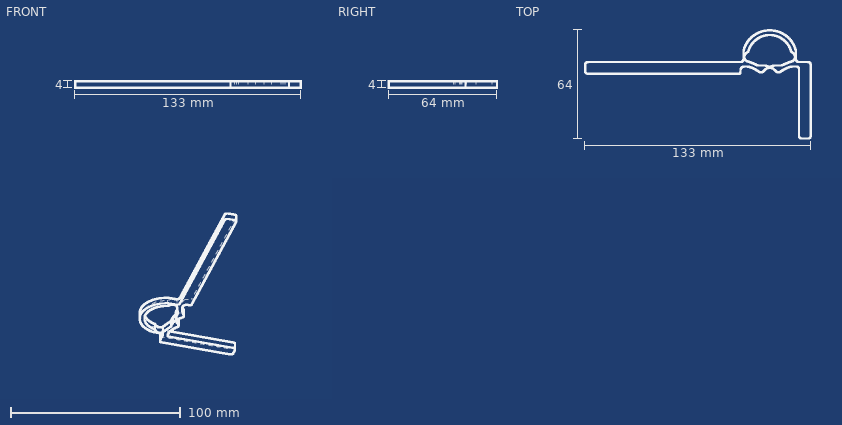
import cadquery as cq
import math

thickness = 4.0
total_length = 133.0
total_width = 64.0

arm_width = 7.0
right_edge = 24.2
left_edge = right_edge - total_length
gap_half_width = right_edge - arm_width
arm_corner_radius = 1.7
gap_corner_radius = 1.2
long_arm_gap_radius = 2.1

ring_radius = 16.0
ring_wall = 2.9
ring_center_y = 2.8
neck_half_width = 15.5
neck_fillet = 1.5
ring_top = ring_center_y + ring_radius
bottom_edge = ring_top - total_width

roof_radius = ring_radius - ring_wall
roof_end_angle = math.radians(15)
roof_end = (
    roof_radius * math.cos(roof_end_angle),
    ring_center_y + roof_radius * math.sin(roof_end_angle),
)
lobe_start = (14.1, 4.9)
lobe_side = (14.9, 2.9)
lobe_end = (13.7, 0.7)
floor_slope = (10.4, -0.5)
floor_outer = (7.0, -2.0)
floor_inner = (2.4, -2.0)
floor_dip = (0, -2.7)

bridge_edge_y = -2.8
bridge_start = (13.0, bridge_edge_y)
bridge_slope = [(10.1, -3.6), (7.8, -4.8)]
bump_start = (6.6, -5.6)
bump_bottom = (5.2, -6.18)
bump_end = (3.5, -5.3)
notch_start = (2.0, -4.0)
notch_top = (0, -3.5)


def mirror(point):
    """Reflect a point across the ring axis."""
    return (-point[0], point[1])


def rounded_bar(x_min, x_max, y_min, y_max, corners):
    """Upright slab with the corners chosen by the selector rounded."""
    bar = cq.Workplane("XY").box(x_max - x_min, y_max - y_min, thickness, centered=False)
    return bar.translate((x_min, y_min, 0)).edges(corners).fillet(arm_corner_radius)


def make_arms():
    long_arm = rounded_bar(left_edge, -gap_half_width, -arm_width, 0, "|Z and <X")
    long_arm = long_arm.edges("|Z and >X and <Y").fillet(gap_corner_radius)
    short_arm = rounded_bar(gap_half_width, right_edge, bottom_edge, 0, "|Z and (<Y or (>X and >Y))")
    return long_arm.union(short_arm)


def make_ring_and_bridge():
    """Solid outline of the ring and of the bridge that joins the arms."""
    neck_top = (neck_half_width, ring_center_y + math.sqrt(ring_radius**2 - neck_half_width**2))
    neck_bottom = (neck_half_width, neck_fillet)
    neck_foot = (neck_half_width + neck_fillet, 0)
    arm_top = (gap_half_width, 0)
    gap_side = (gap_half_width, bridge_edge_y - gap_corner_radius)
    gap_end = (gap_half_width - gap_corner_radius, bridge_edge_y)
    long_arm_gap_side = (-gap_half_width, bridge_edge_y - long_arm_gap_radius)
    long_arm_gap_end = (long_arm_gap_radius - gap_half_width, bridge_edge_y)
    slope = [bridge_start] + bridge_slope + [bump_start]
    mirrored_slope = [mirror(point) for point in reversed(slope)]
    outline = (
        cq.Workplane("XY")
        .moveTo(*mirror(neck_top))
        .threePointArc((0, ring_top), neck_top)
        .lineTo(*neck_bottom)
        .radiusArc(neck_foot, -neck_fillet)
        .lineTo(*arm_top)
        .lineTo(*gap_side)
        .radiusArc(gap_end, -gap_corner_radius)
        .lineTo(*bridge_start)
        .spline(slope[1:], includeCurrent=True)
        .threePointArc(bump_bottom, bump_end)
        .lineTo(*notch_start)
        .threePointArc(notch_top, mirror(notch_start))
        .lineTo(*mirror(bump_end))
        .threePointArc(mirror(bump_bottom), mirror(bump_start))
        .spline(mirrored_slope[1:], includeCurrent=True)
        .lineTo(*long_arm_gap_end)
        .radiusArc(long_arm_gap_side, -long_arm_gap_radius)
        .lineTo(*mirror(arm_top))
        .lineTo(*mirror(neck_foot))
        .radiusArc(mirror(neck_bottom), -neck_fillet)
        .close()
    )
    return outline.extrude(thickness)


def make_cavity():
    cavity = (
        cq.Workplane("XY")
        .moveTo(*mirror(roof_end))
        .threePointArc((0, ring_center_y + roof_radius), roof_end)
        .lineTo(*lobe_start)
        .threePointArc(lobe_side, lobe_end)
        .threePointArc(floor_slope, floor_outer)
        .lineTo(*floor_inner)
        .threePointArc(floor_dip, mirror(floor_inner))
        .lineTo(*mirror(floor_outer))
        .threePointArc(mirror(floor_slope), mirror(lobe_end))
        .threePointArc(mirror(lobe_side), mirror(lobe_start))
        .close()
    )
    return cavity.extrude(thickness)


result = make_arms().union(make_ring_and_bridge()).cut(make_cavity())